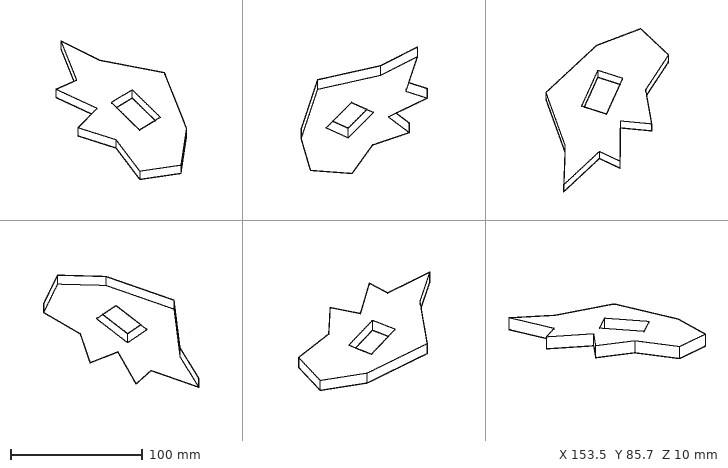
import cadquery as cq

thickness = 10.0
window_length = 34.67
window_width = 20.26

plate_corners = [
    (-89.08, -2.62),
    (-55.61, 8.93),
    (-15.57, 39.99),
    (38.23, 19.11),
    (64.38, -6.90),
    (49.66, -35.29),
    (13.96, -30.24),
    (-13.47, -45.69),
    (-19.49, -22.30),
    (-53.78, -35.26),
    (-51.17, -17.24),
]


def make_plate():
    """Flat plate with straight sides, resting on Z = 0."""
    return cq.Workplane("XY").polyline(plate_corners).close().extrude(thickness)


def make_window():
    """Rectangular opening through the full thickness."""
    return cq.Workplane("XY").rect(window_length, window_width).extrude(thickness)


result = make_plate().cut(make_window())